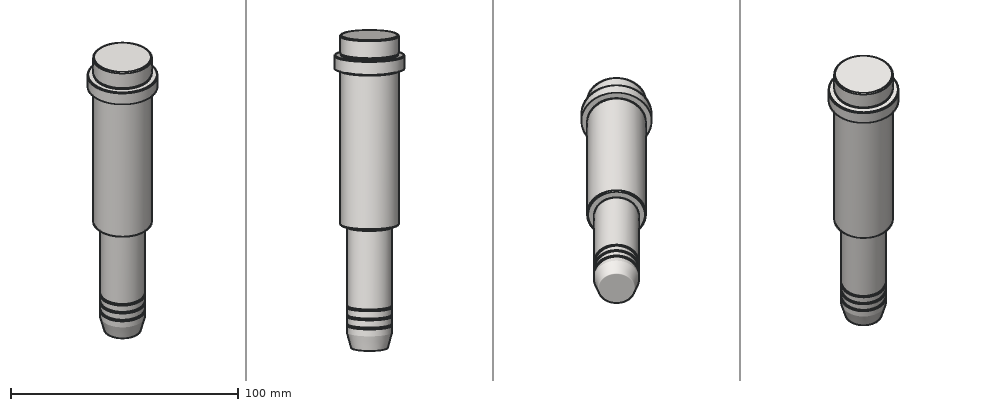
import cadquery as cq
import math

total_length = 140.0
head_height = 9.0
flange_height = 6.0
body_length = 70.0
nose_length = 7.0

body_diameter = 26.0
flange_diameter = 31.0
shank_diameter = 20.0

nose_angle = 15.0
nose_fillet = 0.4
edge_chamfer = 0.5
flange_chamfer = 0.4

relief_width = 1.0
relief_depth = 0.4
flange_relief_floor = 0.5
shank_relief_floor = 0.0

groove_count = 3
groove_pitch = 4.0
groove_width = 1.0
groove_depth = 0.4
first_groove_height = 10.5

flange_top = total_length - head_height
flange_bottom = flange_top - flange_height
body_bottom = flange_bottom - body_length


def cylinder(diameter, bottom, top):
    return cq.Workplane("XY").workplane(offset=bottom).circle(diameter / 2).extrude(top - bottom)


def relief(diameter, shoulder, direction, floor_width):
    """Ring-shaped undercut starting at a shoulder, with a flat floor and a sloping far side."""
    outer = diameter / 2
    inner = outer - relief_depth
    sloped_end = shoulder + direction * relief_width
    profile = [(inner, shoulder), (outer, shoulder), (outer, sloped_end)]
    if floor_width > 0:
        profile.append((inner, shoulder + direction * floor_width))
    return cq.Workplane("XZ").polyline(profile).close().revolve(360, (0, 0, 0), (0, 1, 0))


def lubrication_groove(center):
    """V-shaped groove around the shank."""
    outer = shank_diameter / 2
    inner = outer - groove_depth
    half_width = groove_width / 2
    profile = [
        (outer, center - half_width),
        (outer, center + half_width),
        (inner, center),
    ]
    return cq.Workplane("XZ").polyline(profile).close().revolve(360, (0, 0, 0), (0, 1, 0))


body = cylinder(body_diameter, body_bottom, total_length).edges().chamfer(edge_chamfer)

flange = cylinder(flange_diameter, flange_bottom, flange_top).edges(">Z").chamfer(flange_chamfer)

shank = cylinder(shank_diameter, nose_length, body_bottom + edge_chamfer)
tip_diameter = shank_diameter - 2 * nose_length * math.tan(math.radians(nose_angle))
nose = (
    cq.Workplane("XY")
    .circle(tip_diameter / 2)
    .workplane(offset=nose_length)
    .circle(shank_diameter / 2)
    .loft()
    .edges("<Z")
    .fillet(nose_fillet)
)

result = body.union(flange).union(shank).union(nose)

result = result.cut(relief(body_diameter, flange_top, 1, flange_relief_floor))
result = result.cut(relief(body_diameter, flange_bottom, -1, flange_relief_floor))
result = result.cut(relief(shank_diameter, body_bottom, -1, shank_relief_floor))

for index in range(groove_count):
    result = result.cut(lubrication_groove(first_groove_height + index * groove_pitch))